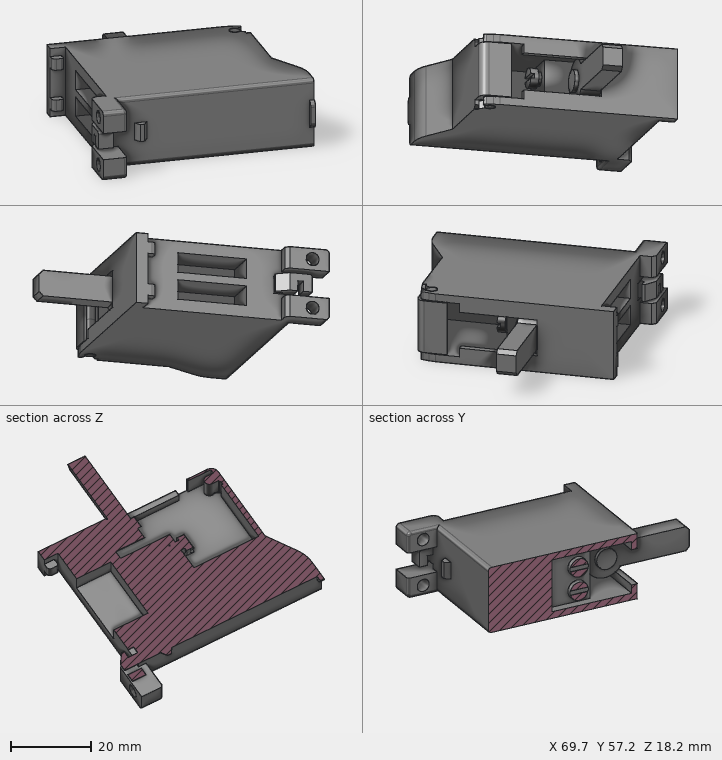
import cadquery as cq
depth = 18.2
half_depth = depth / 2
case_left = 19.1
case_right = 61.4
case_bottom = 4.0
case_top = 51.2
hump_top = 57.2
hump_start_x = 43.9
hump_slope_end_x = 54.3
hump_radius = 10.45
corner_radius = 2.1
back_radius = 1.05

left_foot_right = 22.15
right_foot_left = 58.35
foot_chamfer = 1.0

lug_end = 69.7
lug_top = 6.2
lug_gap_half = 3.5
lug_hole_x = 65.3
lug_hole_z = 6.35
lug_hole_diameter = 3.35
lug_top_radius = 0.7

clip_half = 2.265

wall = 1.7
opening_half = 7.1
cavity_right = 43.2
cavity_bottom = 16.7
cavity_top = case_top - 1.5
window_half = 4.8
window_bottom = 19.85
door_opening_bottom = 40.0

door_half = 6.9
door_bottom = 43.2
door_right = 24.1
door_side_thickness = 0.7
door_top_thickness = 1.4
door_inner_top = case_top - door_top_thickness
hinge_x = 22.2
hinge_y = 47.95
hinge_radius = 1.4
hinge_recess = 0.15
slot_right = 25.0
slot_floor = 50.2

blade_bottom = 20.0
blade_top = 25.1
blade_half = 3.35
blade_end = 27.9
blade_chamfer = 1.05
hub_x = 24.0
hub_left = 19.4
hub_radius = 5.6
boss_radius = 2.85
boss_height = 1.05

screw_x = 35.55
screw_z = 3.24
head_radius = 2.6
head_bottom = 32.0
head_top = 34.1
shank_radius = 1.8
driver_slot_width = 1.1
driver_slot_depth = 0.9
bridge_left = 31.35
bridge_top = 31.0

entry_left = 31.2
entry_right = 49.3
entry_inner_z = 1.0
entry_outer_z = 6.05
entry_end = 13.95


def box(x0, x1, y0, y1, z0, z1):
    return cq.Workplane("XY").box(x1 - x0, y1 - y0, z1 - z0, centered=False).translate((x0, y0, z0))


def centered_box(x0, x1, y0, y1, half):
    """Box that is symmetric about the mid-depth plane."""
    return box(x0, x1, y0, y1, -half, half)


def post(x, z, radius, y0, y1):
    """Cylinder standing along Y."""
    return cq.Workplane("XZ", origin=(x, y0, z)).circle(radius).extrude(y0 - y1)


def edge_at(x, y):
    """Selector for the edge along Z that passes through (x, y)."""
    return cq.selectors.NearestToPointSelector((x, y, 0))


def make_case():
    outline = [
        (case_left, 0),
        (left_foot_right, 0),
        (left_foot_right, case_bottom),
        (right_foot_left, case_bottom),
        (right_foot_left, foot_chamfer),
        (right_foot_left + foot_chamfer, 0),
        (case_right, 0),
        (case_right, hump_top),
        (hump_slope_end_x, hump_top),
        (hump_start_x, case_top),
        (case_left, case_top),
    ]
    case = cq.Workplane("XY").polyline(outline).close().extrude(half_depth, both=True)
    case = case.edges(edge_at(hump_slope_end_x, hump_top)).fillet(hump_radius)
    case = case.edges(edge_at(case_left, case_top)).fillet(corner_radius)
    return case.faces(">X").edges("|Y").fillet(back_radius)


def make_lugs():
    lugs = centered_box(right_foot_left + foot_chamfer, lug_end, 0, lug_top, half_depth)
    lugs = lugs.faces(">X").edges("|Y").fillet(back_radius)
    lugs = lugs.faces(">Y").edges("not <X").fillet(lug_top_radius)
    for side in (-1, 1):
        lugs = lugs.cut(post(lug_hole_x, side * lug_hole_z, lug_hole_diameter / 2, 0, lug_top))
    return lugs


def make_lug_gap():
    foot_gap = centered_box(right_foot_left, lug_end, 0, case_bottom, lug_gap_half)
    return foot_gap.union(centered_box(case_right, lug_end, 0, lug_top, lug_gap_half))


def make_cavity():
    cavity = centered_box(case_left + wall, cavity_right, cavity_bottom, cavity_top, opening_half)
    window = centered_box(case_left, case_left + wall, window_bottom, door_opening_bottom, window_half)
    door_opening = centered_box(case_left, slot_right, door_opening_bottom, case_top, opening_half)
    return cavity.union(window).union(door_opening)


def make_cable_entries():
    entry = box(entry_left, entry_right, case_bottom, entry_end, entry_inner_z, entry_outer_z)
    return entry.union(entry.mirror("XY"))


def make_hinge_cylinder(half_length):
    return cq.Workplane("XY").center(hinge_x, hinge_y).circle(hinge_radius).extrude(half_length, both=True)


def make_hinge_slot():
    """Funnel through the case sides, leading from the corner down to the hinge pin."""
    outside_x = case_left - 0.7
    outside_y = case_top + 0.7
    funnel = (
        cq.Workplane("XY")
        .moveTo(outside_x, 46.2)
        .lineTo(case_left, 46.2)
        .lineTo(19.3, 47.9)
        .lineTo(19.65, 49.55)
        .threePointArc((20.2, slot_floor), (20.85, 49.7))
        .lineTo(21.1, 49.0)
        .lineTo(hinge_x, hinge_y)
        .lineTo(23.35, 49.0)
        .lineTo(door_right, slot_floor)
        .lineTo(slot_right, slot_floor)
        .lineTo(slot_right, outside_y)
        .lineTo(outside_x, outside_y)
        .close()
        .extrude(half_depth, both=True)
    )
    return funnel.union(make_hinge_cylinder(half_depth))


def make_slot_ramp():
    """Sloping floor between the door edge and the right end of the hinge slot."""
    low_z = 8.15
    high_z = 8.9
    outline = [
        (door_right, -low_z),
        (door_right, low_z),
        (slot_right, high_z),
        (slot_right, -high_z),
    ]
    plane = cq.Workplane("XZ", origin=(0, slot_floor, 0))
    return plane.polyline(outline).close().extrude(slot_floor - case_top)


def make_door():
    door = centered_box(case_left, door_right, door_bottom, case_top, door_half)
    door = door.edges("<X and >Y").fillet(corner_radius)
    inner_left = case_left + door_side_thickness
    door = door.cut(centered_box(inner_left, door_right, door_bottom, door_inner_top, door_half))
    arm = centered_box(hinge_x - hinge_radius, hinge_x + hinge_radius, hinge_y, door_inner_top, door_half)
    pin = make_hinge_cylinder(half_depth - hinge_recess)
    return door.union(arm).union(pin)


def make_blade():
    blade = centered_box(0, blade_end, blade_bottom, blade_top, blade_half)
    blade = blade.faces("<X").edges("|Y").chamfer(blade_chamfer)
    hub = post(hub_x, 0, hub_radius, cavity_bottom, blade_top)
    hub = hub.intersect(centered_box(hub_left, hub_x + hub_radius, cavity_bottom, blade_top, hub_radius))
    boss = post(hub_x, 0, boss_radius, blade_top, blade_top + boss_height)
    return blade.union(hub).union(boss)


def make_terminals():
    terminals = centered_box(bridge_left, cavity_right, cavity_bottom, bridge_top, opening_half)
    for side in (-1, 1):
        z = side * screw_z
        head = post(screw_x, z, head_radius, head_bottom, head_top)
        driver_slot = box(
            screw_x - head_radius, screw_x + head_radius,
            head_top - driver_slot_depth, head_top,
            z - driver_slot_width / 2, z + driver_slot_width / 2,
        )
        shank = post(screw_x, z, shank_radius, bridge_top, head_bottom)
        terminals = terminals.union(head.cut(driver_slot)).union(shank)
    return terminals


def make_rail_hooks():
    hook_right = 24.25
    hook_top = 2.9
    hook_inner_z = 4.0
    hook_outer_z = 7.0
    lower_radius = 1.05
    upper_radius = 0.55
    hook = box(left_foot_right, hook_right, 0, hook_top, hook_inner_z, hook_outer_z)
    hook = hook.edges(">X and <Y").fillet(lower_radius)
    hook = hook.edges(">X and >Y").fillet(upper_radius)
    return hook.union(hook.mirror("XY"))


def make_clip_pocket():
    pocket_left = 56.4
    pocket_end = 5.6
    return centered_box(pocket_left, right_foot_left, case_bottom, pocket_end, clip_half)


def make_clip():
    clip_end = 65.25
    clip_tip_x = 56.25
    clip_tip_bottom = 2.1
    clip_tip_top = 2.9
    clip_corner_radius = 0.7
    notch_right = 62.9
    notch_top_z = 0.35
    slope_end_x = right_foot_left + foot_chamfer
    outline = [
        (clip_tip_x, clip_tip_bottom),
        (slope_end_x, 0),
        (clip_end, 0),
        (clip_end, case_bottom),
        (right_foot_left, case_bottom),
        (right_foot_left, clip_tip_top),
        (clip_tip_x, clip_tip_top),
    ]
    clip = cq.Workplane("XY").polyline(outline).close().extrude(clip_half, both=True)
    clip = clip.edges(">X and >Z").fillet(clip_corner_radius)
    return clip.cut(box(case_right, notch_right, 0, case_bottom, -clip_half, notch_top_z))


def make_top_lip():
    lip_end = 62.9
    lip_bottom = 56.0
    lip_half = 3.55
    lip_corner_radius = 1.4
    lip = centered_box(case_right, lip_end, lip_bottom, hump_top, lip_half)
    return lip.edges(">X and |Y").fillet(lip_corner_radius)


def make_back_bump():
    bump_y = 12.1
    bump_base_half = 1.6
    bump_top_half = 0.55
    bump_height = 1.5
    outline = [
        (case_right, bump_y - bump_base_half),
        (case_right + bump_height, bump_y - bump_top_half),
        (case_right + bump_height, bump_y + bump_top_half),
        (case_right, bump_y + bump_base_half),
    ]
    return cq.Workplane("XY").polyline(outline).close().extrude(clip_half, both=True)


result = (
    make_case()
    .union(make_lugs())
    .cut(make_lug_gap())
    .cut(make_cavity())
    .cut(make_cable_entries())
    .cut(make_hinge_slot())
    .cut(make_clip_pocket())
    .union(make_slot_ramp())
    .union(make_door())
    .union(make_blade())
    .union(make_terminals())
    .union(make_rail_hooks())
    .union(make_clip())
    .union(make_top_lip())
    .union(make_back_bump())
)